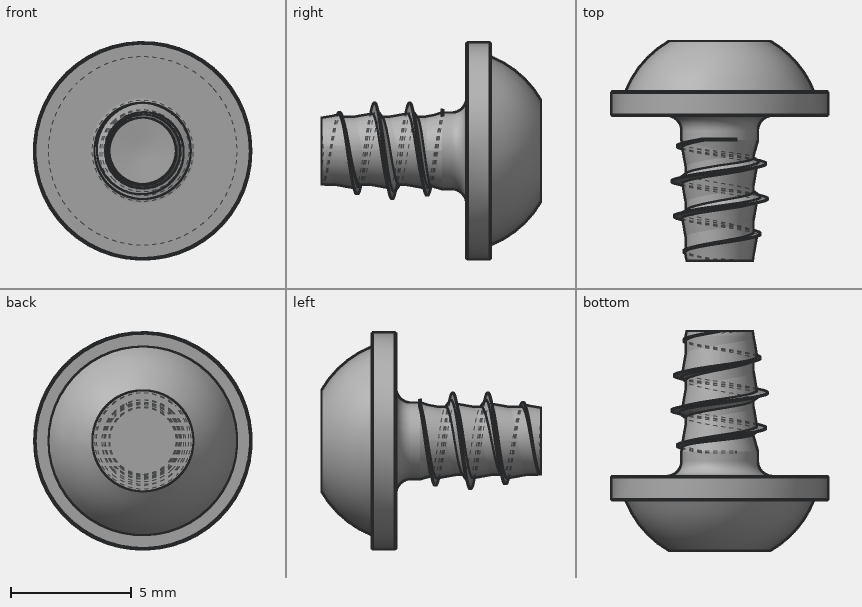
import cadquery as cq
import math


total_length = 9.1
shank_length = 6.0
head_height = total_length - shank_length
flange_diameter = 9.0
flange_thickness = 1.02
flange_chamfer = 0.06
dome_base_radius = 3.9
dome_top_radius = 2.09

neck_radius = 1.59
neck_fillet = 0.59
neck_end = 1
neck_taper_angle = 16
core_radius = 1.41
tip_radius = 1.37
tip_taper_angle = 10
dimple_radius = 1.3
dimple_depth = 0.09

pitch = 1.46
crest_radius = 1.99
crest_width = 0.04
thread_start = 0.52
tooth_cut = 0.95
leading_base = 0.13
trailing_knee = 0.08
trailing_knee_radius = 1.69
trailing_base = 0.29
ramp_end = 0.87
ramp_angle = 10
root_overlap = 0.06

lead_in_turns = 1.25
full_turns = 1
run_out_turns = 1.5
thread_turns = lead_in_turns + full_turns + run_out_turns
lead_in_drop = 0.37
end_sink = 0.01
run_out_drop = crest_radius - core_radius + end_sink

patch_turns = 0.25
patch_samples = 8
clip_radius = 2 * crest_radius

lip_radius = 1.7
lip_thickness = 0.08
lip_start_angle = 66
lip_sweep_angle = 50


def slope(angle):
    return math.tan(math.radians(angle))


def revolve_profile(profile, sweep_angle=360):
    """Turn a (radius, z) outline around the screw axis, from +X through +Y."""
    return profile.close().revolve(sweep_angle, (0, 0, 0), (0, 1, 0)).rotate((0, 0, 0), (1, 0, 0), 90)


def make_head():
    """Chamfered flange under a flat-topped spherical dome."""
    dome_height = head_height - flange_thickness
    centre_below_base = (
        dome_base_radius**2 - dome_top_radius**2 - dome_height**2
    ) / (2 * dome_height)
    sphere_radius = math.hypot(dome_base_radius, centre_below_base)
    mid_height = dome_height / 2
    mid_radius = math.sqrt(sphere_radius**2 - (centre_below_base + mid_height) ** 2)

    dome = revolve_profile(
        cq.Workplane("XY")
        .moveTo(0, -head_height)
        .lineTo(dome_top_radius, -head_height)
        .threePointArc((mid_radius, -flange_thickness - mid_height), (dome_base_radius, -flange_thickness))
        .lineTo(0, -flange_thickness)
    )
    flange = (
        cq.Workplane("XY")
        .workplane(offset=-flange_thickness)
        .circle(flange_diameter / 2)
        .extrude(flange_thickness)
        .faces("<Z or >Z")
        .chamfer(flange_chamfer)
    )
    return flange.union(dome)


def make_shank():
    """Filleted neck tapering to the cylindrical core."""
    neck_taper_end = neck_end + (neck_radius - core_radius) / slope(neck_taper_angle)
    arc_shift = neck_fillet * (1 - math.sqrt(0.5))
    return revolve_profile(
        cq.Workplane("XY")
        .moveTo(0, 0)
        .lineTo(neck_radius + neck_fillet, 0)
        .threePointArc((neck_radius + arc_shift, arc_shift), (neck_radius, neck_fillet))
        .lineTo(neck_radius, neck_end)
        .lineTo(core_radius, neck_taper_end)
        .lineTo(core_radius, shank_length)
        .lineTo(0, shank_length)
    )


def make_tip_envelope():
    """Body that limits the root of the thread to the taper at the tip."""
    taper_length = (clip_radius - tip_radius) / slope(tip_taper_angle)
    return revolve_profile(
        cq.Workplane("XY")
        .moveTo(0, shank_length)
        .lineTo(tip_radius, shank_length)
        .lineTo(clip_radius, shank_length - taper_length)
        .lineTo(0, shank_length - taper_length)
    )


def tooth_drop(turn):
    """How far the tooth is sunk below full depth at a place along the helix."""
    run_out_start = lead_in_turns + full_turns
    lead_in = lead_in_drop * (1 - turn / lead_in_turns)
    run_out = run_out_drop * (turn - run_out_start) / run_out_turns
    return max(lead_in, 0, run_out)


def helical_solid(corners, drop):
    """Sweep a closed (offset, radius) profile along the helix, sunk by drop(turn)."""
    def helix_point(corner, turn):
        offset, radius = corner
        angle = 2 * math.pi * turn
        return cq.Vector(
            (radius - drop(turn)) * math.cos(angle),
            (radius - drop(turn)) * math.sin(angle),
            thread_start + pitch * turn + offset,
        )

    def cap(turn):
        points = [helix_point(corner, turn) for corner in corners]
        return cq.Face.makeFromWires(cq.Wire.makePolygon(points, close=True))

    def helix_edge(corner, first_turn):
        turns = [first_turn + patch_turns * i / patch_samples for i in range(patch_samples + 1)]
        return cq.Edge.makeSpline([helix_point(corner, turn) for turn in turns])

    faces = [cap(0), cap(thread_turns)]
    for patch in range(round(thread_turns / patch_turns)):
        edges = [helix_edge(corner, patch * patch_turns) for corner in corners]
        for i, edge in enumerate(edges):
            faces.append(cq.Face.makeRuledSurface(edges[i - 1], edge))
    return cq.Workplane(cq.Solid.makeSolid(cq.Shell.makeShell(faces)).fix())


def make_tooth():
    """Thread ridge above the root, trimmed flat at both ends."""
    inner_radius = core_radius - root_overlap
    trailing_run = (trailing_base - trailing_knee) / (trailing_knee_radius - core_radius)
    leading_run = (leading_base - crest_width / 2) / (crest_radius - core_radius)
    corners = [
        (-trailing_base - root_overlap * trailing_run, inner_radius),
        (-trailing_knee, trailing_knee_radius),
        (-crest_width / 2, crest_radius),
        (crest_width / 2, crest_radius),
        (leading_base + root_overlap * leading_run, inner_radius),
    ]
    tooth = helical_solid(corners, tooth_drop)
    limits = (
        cq.Workplane("XY")
        .workplane(offset=tooth_cut)
        .circle(clip_radius)
        .extrude(shank_length - tooth_cut)
    )
    return tooth.intersect(limits)


def make_lip():
    """Level sector from which the tooth starts."""
    lip_end = tooth_cut + lip_thickness
    inner_radius = core_radius - root_overlap
    lip = revolve_profile(
        cq.Workplane("XY")
        .moveTo(inner_radius, tooth_cut)
        .lineTo(lip_radius, tooth_cut)
        .lineTo(lip_radius, lip_end)
        .lineTo(inner_radius, lip_end),
        lip_sweep_angle,
    )
    return lip.rotate((0, 0, 0), (0, 0, 1), lip_start_angle)


def make_root_ramp():
    """Tapered root that falls from the foot of the tooth towards the tip."""
    inner_radius = core_radius - root_overlap
    ramp_top = core_radius + ramp_end * slope(ramp_angle)
    corners = [
        (0, inner_radius),
        (0, ramp_top),
        (ramp_end + root_overlap / slope(ramp_angle), inner_radius),
    ]
    return helical_solid(corners, lambda turn: 0)


def make_dimple():
    """Shallow cone sunk into the tip."""
    return revolve_profile(
        cq.Workplane("XY")
        .moveTo(0, shank_length)
        .lineTo(dimple_radius, shank_length)
        .lineTo(0, shank_length - dimple_depth)
    )


root = make_shank().union(make_root_ramp()).intersect(make_tip_envelope())
screw = root.union(make_head()).union(make_tooth()).union(make_lip()).cut(make_dimple())
result = screw.rotate((0, 0, 0), (1, 0, 0), 90)